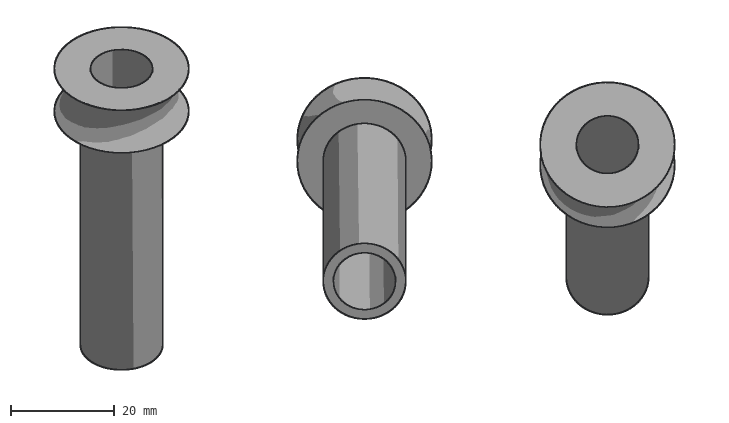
import cadquery as cq

total_length = 67.75
tube_diameter = 16.0
bore_diameter = 12.0

collar_diameter = 26.0
collar_height = 10.4
throat_diameter = 20.2

tube_radius = tube_diameter / 2
collar_radius = collar_diameter / 2
throat_radius = throat_diameter / 2
collar_bottom = total_length - collar_height
collar_middle = total_length - collar_height / 2


def make_tube():
    return cq.Workplane("XY").circle(tube_radius).extrude(total_length)


def make_collar():
    """Collar revolved about Z, its rim hollowed by a circular arc."""
    profile = (
        cq.Workplane("XZ")
        .moveTo(0, collar_bottom)
        .lineTo(collar_radius, collar_bottom)
        .threePointArc((throat_radius, collar_middle), (collar_radius, total_length))
        .lineTo(0, total_length)
        .close()
    )
    return profile.revolve(360, (0, 0, 0), (0, 1, 0))


def make_bore():
    return cq.Workplane("XY").circle(bore_diameter / 2).extrude(total_length)


result = make_tube().union(make_collar()).cut(make_bore())